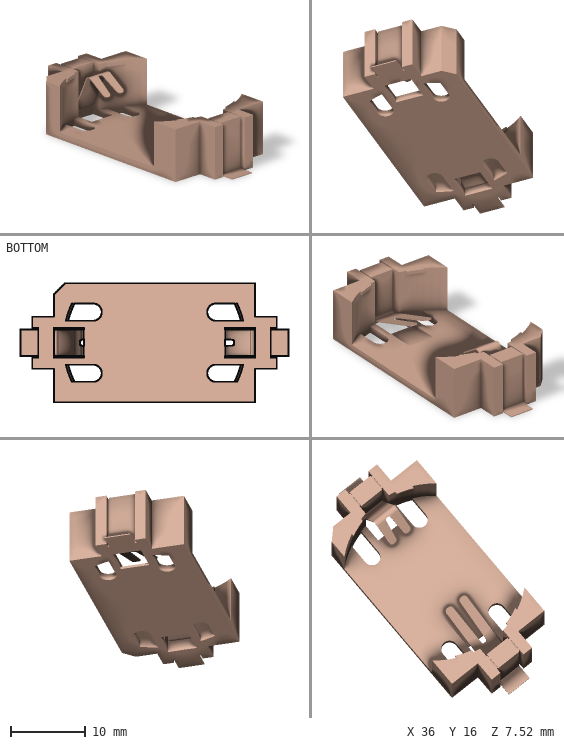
import cadquery as cq
import math

height = 7.52
floor_thickness = 0.97
body_length = 27.0
body_width = 16.02
corner_chamfer = 1.5
ear_length = 32.85
ear_width = 7.02
coin_radius = 12.28

channel_width = 4.0
post_inner_x = 13.5
post_outer_x = 15.62
opening_inner_x = 9.45

slot_width = 2.25
slot_center_y = 4.1
slot_inner_x = 7.1
lip_height = 0.5
lip_radius = 11.95

relief_start_x = 4.45
relief_depth = 0.6

sheet = 0.15
contact_width = 3.6
tab_end_x = 18.0
post_clearance = 0.07
post_height = height - sheet
leg_x = post_inner_x - post_clearance

low_bend_z = 0.7
low_bend_radius = 0.3
low_arm_angle = 19.7
low_tip_x = 4.25
low_slot_length = 6.8
low_slot_tip_width = 1.22

high_bend_z = 0.75
high_bend_radius = 0.07
crest_x = 10.45
crest_z = 7.13
crest_radius = 0.55
high_arm_angle = 33.5
high_tip_x = 7.05
high_slot_length = 3.55
high_slot_tip_width = 1.35

slot_end_width = 0.75
slot_cut_reach = 4 * sheet
slot_end_radius = 0.25
tip_radius = 0.5


def block(x0, x1, width, z0, z1, center_y=0.0):
    """Box between two X and two Z positions, centred on center_y."""
    box = cq.Workplane("XY").box(x1 - x0, width, z1 - z0, centered=(False, True, False))
    return box.translate((x0, center_y, z0))


def cylinder(radius, z0, z1):
    return cq.Workplane("XY").workplane(offset=z0).circle(radius).extrude(z1 - z0)


def make_blank():
    """Full-height outline: body with one chamfered corner, and a narrower ear at each end."""
    body = block(-body_length / 2, body_length / 2, body_width, 0, height)
    body = body.edges("|Z and <X and <Y").chamfer(corner_chamfer)
    ears = block(-ear_length / 2, ear_length / 2, ear_width, 0, height)
    return body.union(ears)


def make_lips():
    """Thin ledges at the rim of the coin pocket, one above each floor slot."""
    underside_z = height - lip_height
    ring = cylinder(coin_radius, underside_z, height).cut(cylinder(lip_radius, underside_z, height))
    front_band = block(-coin_radius, coin_radius, slot_width, underside_z, height, -slot_center_y)
    back_band = front_band.mirror("XZ")
    return ring.intersect(front_band.union(back_band))


def make_floor_slots():
    """Four slots, round at the inner end, that stop at the pocket wall."""
    outer_x = coin_radius + slot_width / 2
    length = outer_x - slot_inner_x
    centers = [
        (side_x * (slot_inner_x + outer_x) / 2, side_y * slot_center_y)
        for side_x in (-1, 1)
        for side_y in (-1, 1)
    ]
    slots = cq.Workplane("XY").pushPoints(centers).slot2D(length, slot_width).extrude(floor_thickness)
    return slots.intersect(cylinder(coin_radius, 0, floor_thickness))


def make_end_cut(side_x):
    """Opening inside the post and the channel around the post, at one end."""
    cut = block(opening_inner_x, ear_length / 2, channel_width, 0, height)
    cut = cut.cut(block(post_inner_x, post_outer_x, channel_width, 0, post_height))
    return cut if side_x > 0 else cut.mirror("YZ")


def make_relief():
    """Wedge that deepens from the floor surface to the +X opening."""
    profile = [
        (relief_start_x, floor_thickness),
        (opening_inner_x, floor_thickness),
        (opening_inner_x, floor_thickness - relief_depth),
    ]
    return cq.Workplane("XZ").polyline(profile).close().extrude(channel_width / 2, both=True)


def make_housing():
    housing = make_blank().cut(cylinder(coin_radius, floor_thickness, height))
    housing = housing.cut(make_floor_slots())
    housing = housing.union(make_lips())
    for side_x in (-1, 1):
        housing = housing.cut(make_end_cut(side_x))
    return housing.cut(make_relief())


def offset_path(path):
    """The path moved one sheet thickness to its left, with mitred corners."""
    angles = [math.atan2(z1 - z0, x1 - x0) for (x0, z0), (x1, z1) in zip(path, path[1:])]
    before = angles[:1] + angles
    after = angles + angles[-1:]
    moved = []
    for (x, z), a, b in zip(path, before, after):
        turn = math.remainder(b - a, 2 * math.pi)
        miter = sheet / math.cos(turn / 2)
        normal = a + turn / 2 + math.pi / 2
        moved.append((x + miter * math.cos(normal), z + miter * math.sin(normal)))
    return moved


def round_bend(strip, inside, outside, radius):
    """Round one bend, given its inner and outer corner."""
    for (x, z), r in ((inside, radius), (outside, radius + sheet)):
        strip = strip.edges(cq.selectors.NearestToPointSelector((x, 0, z))).fillet(r)
    return strip


def fork_arm(strip, tip, angle, slot_length, slot_tip_width):
    """Cut a tapered slot into the arm from its tip and round the two fingers."""
    slope = math.radians(angle)
    along = (-math.cos(slope), 0, -math.sin(slope))
    normal = cq.Vector(-math.sin(slope), 0, math.cos(slope))
    plane = cq.Plane(origin=(tip[0], 0, tip[1]), xDir=along, normal=normal)
    outline = [
        (0, -slot_tip_width / 2),
        (slot_length, -slot_end_width / 2),
        (slot_length, slot_end_width / 2),
        (0, slot_tip_width / 2),
    ]
    slot = cq.Workplane(plane).polyline(outline).close().extrude(slot_cut_reach, both=True)
    through_edges = cq.selectors.ParallelDirSelector(normal)
    slot = slot.edges(through_edges).edges("<X").fillet(slot_end_radius)
    strip = strip.cut(slot)
    tip_reach = 2 * sheet
    tip_region = cq.selectors.BoxSelector(
        (tip[0] - tip_reach, -contact_width, tip[1] - tip_reach),
        (tip[0] + tip_reach, contact_width, tip[1] + tip_reach),
    )
    return strip.edges(through_edges).edges(tip_region).fillet(tip_radius)


def make_contact(arm, bends, arm_angle, slot_length, slot_tip_width):
    """Bent strip around the -X post.

    arm is the path from the bottom bend to the tip. bends gives each bend of the arm as its
    inner radius and whether the path turns left there.
    """
    path = [
        (-tab_end_x, 0),
        (-post_outer_x, 0),
        (-post_outer_x, post_height),
        (-leg_x, post_height),
    ] + arm
    outer = offset_path(path)
    strip = cq.Workplane("XZ").polyline(path + outer[::-1]).close()
    strip = strip.extrude(contact_width / 2, both=True)
    first_bend = len(path) - len(arm)
    for i, (radius, turns_left) in enumerate(bends, first_bend):
        inside, outside = (outer[i], path[i]) if turns_left else (path[i], outer[i])
        strip = round_bend(strip, inside, outside, radius)
    return fork_arm(strip, path[-1], arm_angle, slot_length, slot_tip_width)


def make_low_contact():
    rise = (leg_x - low_tip_x) * math.tan(math.radians(low_arm_angle))
    arm = [(-leg_x, low_bend_z), (-low_tip_x, low_bend_z + rise)]
    bends = [(low_bend_radius, True)]
    contact = make_contact(arm, bends, low_arm_angle, low_slot_length, low_slot_tip_width)
    return contact.mirror("YZ")


def make_high_contact():
    drop = (crest_x - high_tip_x) * math.tan(math.radians(high_arm_angle))
    arm = [(-leg_x, high_bend_z), (-crest_x, crest_z), (-high_tip_x, crest_z - drop)]
    bends = [(high_bend_radius, True), (crest_radius, False)]
    return make_contact(arm, bends, -high_arm_angle, high_slot_length, high_slot_tip_width)


housing = make_housing()
low_contact = make_low_contact()
high_contact = make_high_contact()

result = cq.Compound.makeCompound([housing.val(), low_contact.val(), high_contact.val()])